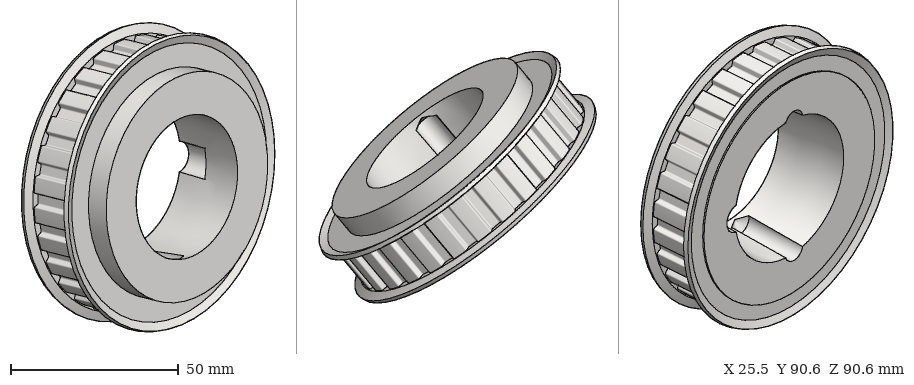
import cadquery as cq
import math


total_length = 25.45
flange_span = 19.2
face_offset = 0.45

flange_radius = 45.3
flange_rim_radius = 44.8
flange_bend_radius = 42.3
flange_seat_radius = 37.3
flange_thickness = 1.4
flange_dish = 1.0
flange_inner_x = flange_dish + flange_thickness

tooth_count = 28
tip_radius = 41.85
root_radius = 40.0
groove_half_width = 1.5
flank_angle = 20.0
root_fillet = 0.45
tip_fillet = 0.45
cut_clearance = 0.9
edge_tolerance = 0.01
teeth_length = flange_span - 2 * flange_inner_x

hub_radius = 35.05
bore_radius = 23.7
bore_half_angle = 4.0
bore_length = total_length - face_offset
bore_end_radius = bore_radius - bore_length * math.tan(math.radians(bore_half_angle))

flat_hole_radius = 4.8
flat_hole_offset = 22.5
flat_hole_depth = 11.1
drilled_hole_radius = 3.8
drilled_hole_y = -2.0
drilled_hole_z = 22.4
drilled_hole_depth = 21.8
drill_point_angle = 120.0
drill_tip_length = drilled_hole_radius / math.tan(math.radians(drill_point_angle / 2))


def disc(radius, x_start, x_end):
    return cq.Workplane("YZ", origin=(x_start, 0, 0)).circle(radius).extrude(x_end - x_start)


def revolve_about_x(points):
    """Turn an outline of (x, radius) points about the X axis."""
    return cq.Workplane("XY").polyline(points).close().revolve(360, (0, 0, 0), (1, 0, 0))


def make_flange(inner_radius):
    """Dished flange with its rim at x = 0 leaning towards -X."""
    return revolve_about_x([
        (flange_dish, inner_radius),
        (flange_dish, flange_bend_radius),
        (0, flange_rim_radius),
        (flange_thickness, flange_radius),
        (flange_inner_x, flange_bend_radius),
        (flange_inner_x, inner_radius),
    ])


def edge_radius(edge):
    """Distance of an edge parallel to X from the pulley axis."""
    return math.hypot(edge.Center().y, edge.Center().z)


def make_teeth():
    """Ring of teeth with trapezoidal grooves, one groove centred on -Y."""
    groove_top = tip_radius + cut_clearance
    flank_run = (groove_top - root_radius) * math.tan(math.radians(flank_angle))
    top_half_width = groove_half_width + flank_run
    groove = (
        cq.Workplane("YZ", origin=(flange_inner_x, 0, 0))
        .polyline([
            (-root_radius, -groove_half_width),
            (-root_radius, groove_half_width),
            (-groove_top, top_half_width),
            (-groove_top, -top_half_width),
        ])
        .close()
        .extrude(teeth_length)
    )
    teeth = disc(tip_radius, flange_inner_x, flange_inner_x + teeth_length)
    pitch_angle = 360 / tooth_count
    grooves = [groove.rotate((0, 0, 0), (1, 0, 0), i * pitch_angle).val() for i in range(tooth_count)]
    teeth = teeth.cut(cq.Compound.makeCompound(grooves))

    middle_radius = (root_radius + tip_radius) / 2
    root_corners = teeth.edges("|X").filter(lambda edge: edge_radius(edge) < middle_radius)
    teeth = root_corners.fillet(root_fillet)
    tip_corners = teeth.edges("|X").filter(lambda edge: edge_radius(edge) > tip_radius - edge_tolerance)
    return tip_corners.fillet(tip_fillet)


def make_bore():
    return revolve_about_x([
        (face_offset, 0),
        (face_offset, bore_radius),
        (total_length, bore_end_radius),
        (total_length, 0),
    ])


def make_flat_hole():
    hole = disc(flat_hole_radius, face_offset, face_offset + flat_hole_depth)
    return hole.translate((0, flat_hole_offset, 0))


def make_drilled_hole(z):
    cone_start = face_offset + drilled_hole_depth
    hole = revolve_about_x([
        (face_offset, 0),
        (face_offset, drilled_hole_radius),
        (cone_start, drilled_hole_radius),
        (cone_start + drill_tip_length, 0),
    ])
    return hole.translate((0, drilled_hole_y, z))


def make_pulley():
    """Toothed body with hub, flange seat and the +X flange in one piece."""
    end_flange = make_flange(hub_radius).mirror("YZ").translate((flange_span, 0, 0))
    seat = disc(flange_seat_radius, face_offset, flange_inner_x)
    hub = disc(hub_radius, flange_inner_x, total_length)
    pulley = make_teeth().union(seat).union(hub).union(end_flange)
    pulley = pulley.cut(make_bore()).cut(make_flat_hole())
    for z in (drilled_hole_z, -drilled_hole_z):
        pulley = pulley.cut(make_drilled_hole(z))
    return pulley


pulley = make_pulley()
front_flange = make_flange(flange_seat_radius)

result = cq.Compound.makeCompound([pulley.val(), front_flange.val()])